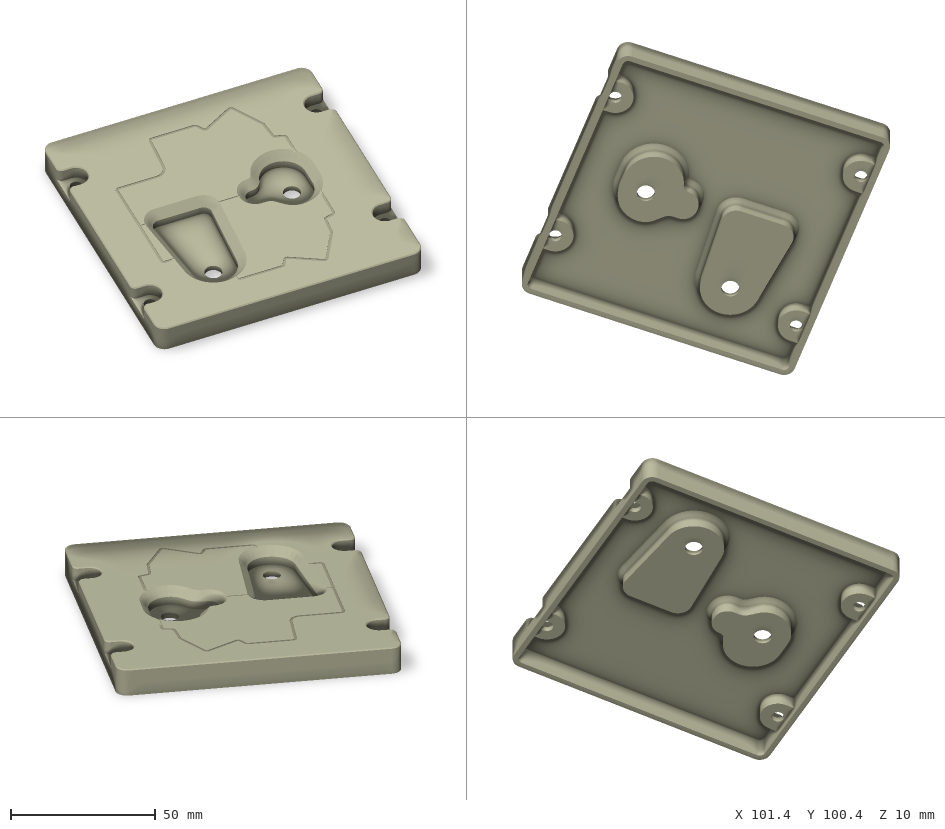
import cadquery as cq
import math

PLATE_LENGTH = 101.4
PLATE_WIDTH = 100.4
PLATE_THICKNESS = 10.0
CORNER_RADIUS = 4.0
WALL_THICKNESS = 2.0
RIM_CHAMFER = 0.4

NOTCH_FLOOR_Z = 5.0
NOTCH_RADIUS = 4.25
NOTCH_MOUTH_RADIUS = 2.0
SCREW_HOLE_DIAMETER = 4.4
SCREW_ROW_Y = 45.3
SCREW_LEFT_X = -31.75
SCREW_BACK_RIGHT_X = 27.5
SCREW_FRONT_RIGHT_X = 32.25
NOTCH_POSITIONS = [
    (SCREW_LEFT_X, SCREW_ROW_Y),
    (SCREW_BACK_RIGHT_X, SCREW_ROW_Y),
    (SCREW_LEFT_X, -SCREW_ROW_Y),
    (SCREW_FRONT_RIGHT_X, -SCREW_ROW_Y),
]

POCKET_DEPTH = 6.0
POCKET_FLARE_DEPTH = 3.0
POCKET_FLARE_ANGLE = 45.0
POCKET_FLOOR_Z = PLATE_THICKNESS - POCKET_DEPTH
FLARE_START_Z = PLATE_THICKNESS - POCKET_FLARE_DEPTH
PORT_DIAMETER = 6.2

CHAMBER_RADIUS = 8.4
CHAMBER_CENTRE_Y = 21.1
CHAMBER_LEFT_X = -4.9
CHAMBER_RIGHT_X = 1.0
LOBE_RADIUS = 3.0
LOBE_CENTRE_Y = 8.2
LOBE_HALF_FLAT = 0.5
RIGHT_NECK_RADIUS = 6.6
RIGHT_NECK_CENTRE_Y = 10.0
BACK_PORT = (0.0, 22.2)

FRONT_CORNER_RADIUS = 3.0
FRONT_CORNER_X = 0.3
FRONT_CORNER_UPPER_Y = -11.2
FRONT_CORNER_LOWER_Y = -27.1
FRONT_END_RADIUS = 8.5
FRONT_PORT = (25.6, -18.55)

GROOVE_WIDTH = 1.0
GROOVE_DEPTH = 0.3
GROOVE_BEND_RADIUS = 1.0
GROOVE_SHOULDER_RADIUS = 4.0
SLIT_WIDTH = 0.5
GROOVE_TOP_Y = 28.95
GROOVE_BOTTOM_Y = -35.3
GROOVE_BENDS = [
    (21.2, GROOVE_TOP_Y, GROOVE_BEND_RADIUS),
    (22.2, 25.0, GROOVE_BEND_RADIUS),
    (29.6, 24.3, GROOVE_BEND_RADIUS),
    (41.6, 17.2, GROOVE_BEND_RADIUS),
    (34.6, 4.6, GROOVE_BEND_RADIUS),
    (38.2, 2.5, GROOVE_BEND_RADIUS),
    (38.2, -14.85, GROOVE_BEND_RADIUS),
    (20.0, -16.2, GROOVE_SHOULDER_RADIUS),
    (20.0, GROOVE_BOTTOM_Y, GROOVE_BEND_RADIUS),
]


def polar(centre, radius, degrees):
    """Point on a circle at the given angle from +X."""
    angle = math.radians(degrees)
    return (centre[0] + radius * math.cos(angle), centre[1] + radius * math.sin(angle))


def direction(start, end):
    """Angle in degrees of the line from start to end."""
    return math.degrees(math.atan2(end[1] - start[1], end[0] - start[0]))


def arc(sketch, centre, radius, start_angle, end_angle):
    """Continue an outline along a circle from its start angle to its end angle."""
    middle = polar(centre, radius, (start_angle + end_angle) / 2)
    return sketch.threePointArc(middle, polar(centre, radius, end_angle))


def make_plate():
    """Rounded plate with four edge notches and a chamfered top rim."""
    plate = (
        cq.Workplane("XY")
        .rect(PLATE_LENGTH, PLATE_WIDTH)
        .extrude(PLATE_THICKNESS)
        .edges("|Z")
        .fillet(CORNER_RADIUS)
    )
    for x, y in NOTCH_POSITIONS:
        plate = cut_notch(plate, x, y)
    return plate.faces(">Z").edges().chamfer(RIM_CHAMFER)


def make_notch(x, y, growth=0.0):
    """U-shaped notch solid open to the nearest edge, grown outwards by the given amount."""
    edge_y = math.copysign(PLATE_WIDTH / 2, y)
    radius = NOTCH_RADIUS + growth
    height = PLATE_THICKNESS - NOTCH_FLOOR_Z + growth
    floor = cq.Workplane("XY", origin=(0, 0, NOTCH_FLOOR_Z - growth))
    channel = (
        floor.center(x, (y + edge_y) / 2)
        .rect(2 * radius, abs(edge_y - y))
        .extrude(height)
    )
    rounded_end = floor.center(x, y).circle(radius).extrude(height)
    return channel.union(rounded_end)


def cut_notch(plate, x, y):
    """Cut one notch and round its mouth."""
    plate = plate.cut(make_notch(x, y))
    edge_y = math.copysign(PLATE_WIDTH / 2, y)
    middle_z = (NOTCH_FLOOR_Z + PLATE_THICKNESS) / 2
    for side in (-1, 1):
        mouth = cq.selectors.NearestToPointSelector((x + side * NOTCH_RADIUS, edge_y, middle_z))
        plate = plate.edges("|Z").edges(mouth).fillet(NOTCH_MOUTH_RADIUS)
    return plate


def back_pocket_outline(plane):
    """Floor outline of the back pocket, drawn clockwise from the top left."""
    left_centre = (CHAMBER_LEFT_X, CHAMBER_CENTRE_Y)
    right_centre = (CHAMBER_RIGHT_X, CHAMBER_CENTRE_Y)
    lobe_side_x = LOBE_HALF_FLAT + LOBE_RADIUS
    right_lobe = (LOBE_HALF_FLAT, LOBE_CENTRE_Y)
    left_lobe = (-LOBE_HALF_FLAT, LOBE_CENTRE_Y)

    right_neck = (lobe_side_x + RIGHT_NECK_RADIUS, RIGHT_NECK_CENTRE_Y)
    chamber_side_x = CHAMBER_RIGHT_X + CHAMBER_RADIUS
    wall_offset = right_neck[0] - right_neck[1] - RIGHT_NECK_RADIUS * math.sqrt(2)
    shoulder_radius = (wall_offset + CHAMBER_CENTRE_Y - chamber_side_x) / (math.sqrt(2) - 1)
    shoulder = (chamber_side_x - shoulder_radius, CHAMBER_CENTRE_Y)

    drop = CHAMBER_CENTRE_Y - LOBE_CENTRE_Y
    inset = CHAMBER_LEFT_X + lobe_side_x
    left_neck_radius = (drop**2 + inset**2 - CHAMBER_RADIUS**2) / (2 * (CHAMBER_RADIUS - inset))
    left_neck = (-lobe_side_x - left_neck_radius, LOBE_CENTRE_Y)
    neck_angle = direction(left_neck, left_centre)

    outline = plane.moveTo(*polar(left_centre, CHAMBER_RADIUS, 90))
    outline = outline.lineTo(*polar(right_centre, CHAMBER_RADIUS, 90))
    outline = arc(outline, right_centre, CHAMBER_RADIUS, 90, 0)
    outline = arc(outline, shoulder, shoulder_radius, 0, -45)
    outline = outline.lineTo(*polar(right_neck, RIGHT_NECK_RADIUS, 135))
    outline = arc(outline, right_neck, RIGHT_NECK_RADIUS, 135, 180)
    outline = outline.lineTo(lobe_side_x, LOBE_CENTRE_Y)
    outline = arc(outline, right_lobe, LOBE_RADIUS, 0, -90)
    outline = outline.lineTo(*polar(left_lobe, LOBE_RADIUS, -90))
    outline = arc(outline, left_lobe, LOBE_RADIUS, -90, -180)
    outline = arc(outline, left_neck, left_neck_radius, 0, neck_angle)
    outline = arc(outline, left_centre, CHAMBER_RADIUS, neck_angle + 180, 90)
    return outline.close()


def front_pocket_outline(plane):
    """Floor outline of the front pocket, drawn clockwise from the lower left."""
    upper = (FRONT_CORNER_X, FRONT_CORNER_UPPER_Y)
    lower = (FRONT_CORNER_X, FRONT_CORNER_LOWER_Y)
    radius_step = FRONT_END_RADIUS - FRONT_CORNER_RADIUS

    upper_angle = 90 + direction(upper, FRONT_PORT)
    upper_angle += math.degrees(math.asin(radius_step / math.dist(upper, FRONT_PORT)))
    lower_angle = direction(lower, FRONT_PORT) - 90
    lower_angle -= math.degrees(math.asin(radius_step / math.dist(lower, FRONT_PORT)))

    outline = plane.moveTo(*polar(lower, FRONT_CORNER_RADIUS, 180))
    outline = outline.lineTo(*polar(upper, FRONT_CORNER_RADIUS, 180))
    outline = arc(outline, upper, FRONT_CORNER_RADIUS, 180, upper_angle)
    outline = outline.lineTo(*polar(FRONT_PORT, FRONT_END_RADIUS, upper_angle))
    outline = arc(outline, FRONT_PORT, FRONT_END_RADIUS, upper_angle, lower_angle)
    outline = outline.lineTo(*polar(lower, FRONT_CORNER_RADIUS, lower_angle))
    outline = arc(outline, lower, FRONT_CORNER_RADIUS, lower_angle, -180)
    return outline.close()


def make_pocket(draw_outline, growth=0.0):
    """Pocket solid, straight-walled below and flared above, grown outwards by the given amount."""
    floor_z = POCKET_FLOOR_Z - growth
    flare_z = FLARE_START_Z - growth * math.tan(math.radians(POCKET_FLARE_ANGLE / 2))
    straight = draw_outline(cq.Workplane("XY", origin=(0, 0, floor_z)))
    flared = draw_outline(cq.Workplane("XY", origin=(0, 0, flare_z)))
    if growth > 0:
        straight = straight.offset2D(growth)
        flared = flared.offset2D(growth)
    straight = straight.extrude(flare_z - floor_z)
    flared = flared.extrude(PLATE_THICKNESS - flare_z, taper=-POCKET_FLARE_ANGLE)
    return straight.union(flared)


def make_cavity():
    """Hollow of the underside, leaving an even wall around the rim, notches and pockets."""
    cavity = (
        cq.Workplane("XY")
        .rect(PLATE_LENGTH - 2 * WALL_THICKNESS, PLATE_WIDTH - 2 * WALL_THICKNESS)
        .extrude(PLATE_THICKNESS - WALL_THICKNESS)
        .edges("|Z")
        .fillet(CORNER_RADIUS - WALL_THICKNESS)
    )
    for x, y in NOTCH_POSITIONS:
        cavity = cavity.cut(make_notch(x, y, WALL_THICKNESS))
    for draw_outline in POCKET_OUTLINES:
        cavity = cavity.cut(make_pocket(draw_outline, WALL_THICKNESS))
    return cavity


def make_groove():
    """Solid to remove for the closed outline groove."""
    right_side = [(x, y) for x, y, _ in GROOVE_BENDS]
    left_side = [(-x, y) for x, y in reversed(right_side)]
    floor = cq.Workplane("XY", origin=(0, 0, PLATE_THICKNESS - GROOVE_DEPTH))
    core = floor.polyline(right_side + left_side).close().extrude(GROOVE_DEPTH)
    for x, y, radius in GROOVE_BENDS:
        for side in (-1, 1):
            bend = cq.selectors.NearestToPointSelector(
                (side * x, y, PLATE_THICKNESS - GROOVE_DEPTH / 2)
            )
            core = core.edges("|Z").edges(bend).fillet(radius)
    centre_line = core.faces("<Z").wires().val()
    outer_edge = centre_line.offset2D(GROOVE_WIDTH / 2)
    inner_edge = centre_line.offset2D(-GROOVE_WIDTH / 2)
    return floor.newObject(outer_edge + inner_edge).toPending().extrude(GROOVE_DEPTH)


def make_slit():
    """Solid to remove for the slit that joins the top and bottom runs of the groove."""
    return (
        cq.Workplane("XY", origin=(0, 0, PLATE_THICKNESS - GROOVE_DEPTH))
        .center(0, (GROOVE_TOP_Y + GROOVE_BOTTOM_Y) / 2)
        .rect(SLIT_WIDTH, GROOVE_TOP_Y - GROOVE_BOTTOM_Y)
        .extrude(GROOVE_DEPTH)
    )


def make_holes(positions, diameter):
    """Solids to remove for equal holes right through the cover."""
    return cq.Workplane("XY").pushPoints(positions).circle(diameter / 2).extrude(PLATE_THICKNESS)


POCKET_OUTLINES = [back_pocket_outline, front_pocket_outline]

result = make_plate().cut(make_cavity()).cut(make_groove()).cut(make_slit())
for pocket_outline in POCKET_OUTLINES:
    result = result.cut(make_pocket(pocket_outline))
result = result.cut(make_holes(NOTCH_POSITIONS, SCREW_HOLE_DIAMETER))
result = result.cut(make_holes([BACK_PORT, FRONT_PORT], PORT_DIAMETER))